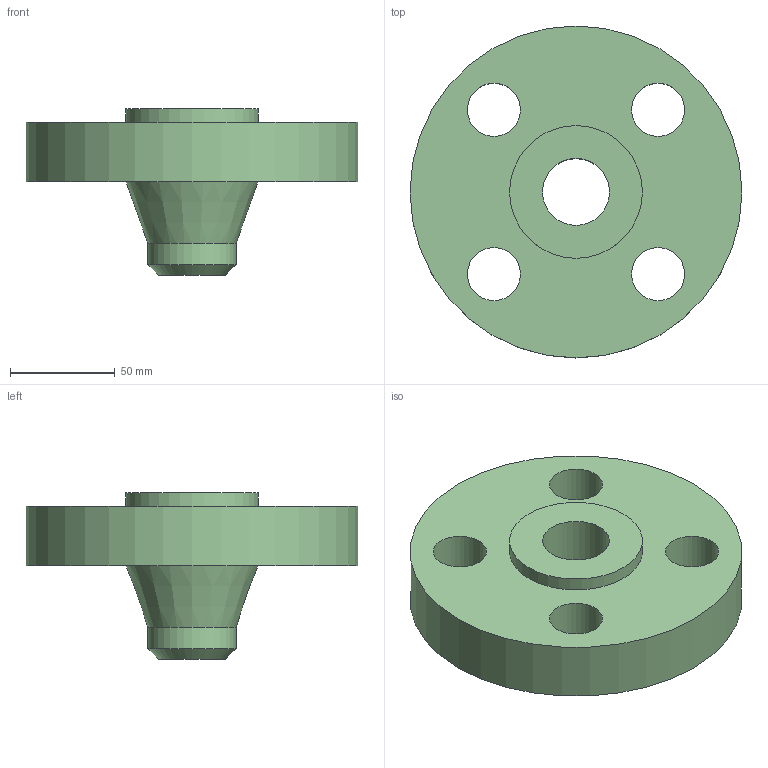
import cadquery as cq

flange_diameter = 158.75
flange_thickness = 28.6
face_diameter = 63.5
face_height = 6.35

overall_height = 79.5
hub_diameter = 63.0
pipe_diameter = 42.2
bore_diameter = 32.0
pipe_end_height = 15.2
bevel_size = 5.0

bolt_count = 4
bolt_circle_diameter = 111.1
bolt_hole_diameter = 25.4
first_bolt_angle = 45

flange_top = overall_height - face_height
flange_bottom = flange_top - flange_thickness


def make_body():
    """Revolve the half section, bore included, about the Z axis."""
    bore_radius = bore_diameter / 2
    pipe_radius = pipe_diameter / 2
    section = (
        cq.Workplane("XZ")
        .moveTo(bore_radius, 0)
        .lineTo(pipe_radius - bevel_size, 0)
        .lineTo(pipe_radius, bevel_size)
        .lineTo(pipe_radius, pipe_end_height)
        .lineTo(hub_diameter / 2, flange_bottom)
        .lineTo(flange_diameter / 2, flange_bottom)
        .lineTo(flange_diameter / 2, flange_top)
        .lineTo(face_diameter / 2, flange_top)
        .lineTo(face_diameter / 2, overall_height)
        .lineTo(bore_radius, overall_height)
        .close()
    )
    return section.revolve(360, (0, 0, 0), (0, 1, 0))


def make_bolt_holes():
    """Cylinders through the flange, evenly spaced on the bolt circle."""
    return (
        cq.Workplane("XY", origin=(0, 0, flange_bottom))
        .polarArray(bolt_circle_diameter / 2, first_bolt_angle, 360, bolt_count)
        .circle(bolt_hole_diameter / 2)
        .extrude(flange_thickness)
    )


result = make_body().cut(make_bolt_holes())